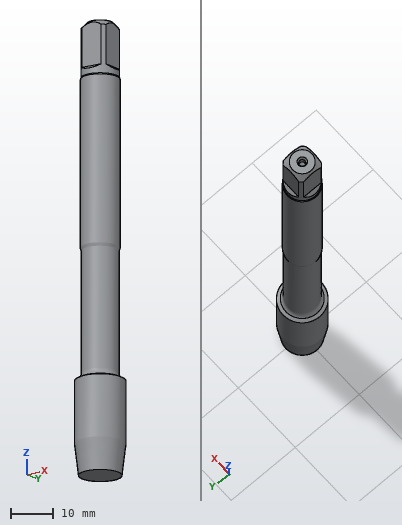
import cadquery as cq
import math

total_height = 110.0
lead_height = 7.7
head_top = 23.4
head_chamfer_height = 0.4
flare_top = 24.9
neck_top = 54.6
shank_bottom = 55.3
shank_top = 96.4
collar_bottom = 96.7
square_bottom = 98.9

tip_diameter = 10.2
head_diameter = 12.1
neck_diameter = 8.9
shank_diameter = 9.4
drive_diameter = 9.0
end_face_diameter = 6.0
neck_fillet_radius = 1.9
neck_fillet_angle = math.asin((flare_top - head_top) / neck_fillet_radius)
flange_diameter = neck_diameter + 2 * neck_fillet_radius * (1 - math.cos(neck_fillet_angle))

square_width = 7.2
runout_angle = 40.0
end_chamfer_height = (drive_diameter - end_face_diameter) / 2
centre_diameter = 1.6
centre_depth = 2.2
countersink_diameter = 2.4
countersink_angle = 60.0
drill_point_angle = 120.0


def revolve_profile(rings):
    """Solid of revolution about Z through (diameter, height) rings, bottom to top."""
    outline = [(diameter / 2, height) for diameter, height in rings]
    axis_points = [(0, rings[-1][1]), (0, rings[0][1])]
    profile = cq.Workplane("XZ").polyline(outline + axis_points).close()
    return profile.revolve(360, (0, 0), (0, 1))


def make_head():
    """Threaded head, simplified to a cylinder with a tapered lead."""
    return revolve_profile([
        (tip_diameter, 0),
        (head_diameter, lead_height),
        (head_diameter, head_top - head_chamfer_height),
        (flange_diameter, head_top),
    ])


def make_flat_cutter():
    """Prism that cuts one flat on the +X side, running out down a slope at its base."""
    inner = square_width / 2
    outer = shank_diameter
    runout = (outer - inner) * math.tan(math.radians(runout_angle))
    section = cq.Workplane("XZ").polyline([
        (inner, total_height),
        (inner, square_bottom),
        (outer, square_bottom - runout),
        (outer, total_height),
    ]).close()
    return section.extrude(shank_diameter, both=True)


def make_centre_hole():
    """Blind centre hole with a countersunk mouth and a conical bottom."""
    half_angle = math.radians(countersink_angle / 2)
    countersink_depth = (countersink_diameter - centre_diameter) / 2 / math.tan(half_angle)
    point_depth = centre_diameter / 2 / math.tan(math.radians(drill_point_angle / 2))
    return revolve_profile([
        (0, total_height - centre_depth - point_depth),
        (centre_diameter, total_height - centre_depth),
        (centre_diameter, total_height - countersink_depth),
        (countersink_diameter, total_height),
    ])


def make_neck_fillet():
    """Ring that flares from the neck out to the rim of the head with a concave arc."""
    neck_radius = neck_diameter / 2
    mid_angle = neck_fillet_angle / 2
    mid_radius = neck_radius + neck_fillet_radius * (1 - math.cos(mid_angle))
    mid_height = flare_top - neck_fillet_radius * math.sin(mid_angle)
    profile = (
        cq.Workplane("XZ")
        .moveTo(0, head_top)
        .lineTo(flange_diameter / 2, head_top)
        .threePointArc((mid_radius, mid_height), (neck_radius, flare_top))
        .lineTo(0, flare_top)
        .close()
    )
    return profile.revolve(360, (0, 0), (0, 1))


def make_shank():
    """Neck, shank and drive square in one piece, standing on the head."""
    body = revolve_profile([
        (neck_diameter, head_top),
        (neck_diameter, neck_top),
        (shank_diameter, shank_bottom),
        (shank_diameter, shank_top),
        (drive_diameter, collar_bottom),
        (drive_diameter, total_height - end_chamfer_height),
        (end_face_diameter, total_height),
    ])
    body = body.union(make_neck_fillet())
    flat_cutter = make_flat_cutter()
    for angle in (0, 90, 180, 270):
        body = body.cut(flat_cutter.rotate((0, 0, 0), (0, 0, 1), angle))
    return body.cut(make_centre_hole())


head = make_head()
shank = make_shank()

result = cq.Compound.makeCompound([head.solids().val(), shank.solids().val()])